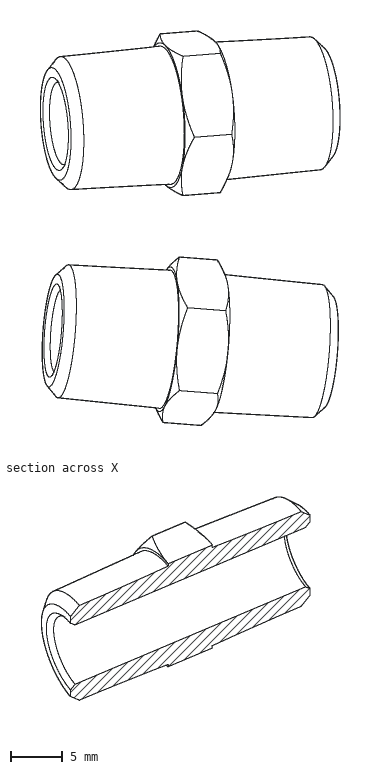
import cadquery as cq
import math

length = 27.0
hex_width = 5.0
across_flats = 14.0
across_corners = across_flats / math.cos(math.radians(30))

tip_radius = 6.45
root_radius = 6.7
tip_chamfer = 1.0

bore_radius = 4.0
bore_chamfer = 0.5

hex_chamfer_angle = 30.0
hex_chamfer_radius = across_flats / 2

half_length = length / 2
half_hex = hex_width / 2


def revolve_profile(points):
    """Turn a closed (radius, Y) outline around the Y axis."""
    return cq.Workplane("XY").polyline(points).close().revolve(360, (0, 0, 0), (0, 1, 0))


def tapered_end(side):
    """One tapered, chamfered end; side is +1 for +Y or -1 for -Y."""
    return revolve_profile([
        (0, 0),
        (root_radius, 0),
        (root_radius, side * half_hex),
        (tip_radius, side * (half_length - tip_chamfer)),
        (tip_radius - tip_chamfer, side * half_length),
        (0, side * half_length),
    ])


def hexagon():
    """Hexagon with corners on the X axis, trimmed by a cone at each face."""
    prism = (
        cq.Workplane("XZ")
        .polygon(6, across_corners)
        .extrude(half_hex, both=True)
    )
    outer_radius = across_corners / 2
    drop = (outer_radius - hex_chamfer_radius) * math.tan(math.radians(hex_chamfer_angle))
    envelope = revolve_profile([
        (0, -half_hex),
        (hex_chamfer_radius, -half_hex),
        (outer_radius, drop - half_hex),
        (outer_radius, half_hex - drop),
        (hex_chamfer_radius, half_hex),
        (0, half_hex),
    ])
    return prism.intersect(envelope)


def bore():
    """Through bore with a chamfered mouth at both ends."""
    mouth_radius = bore_radius + bore_chamfer
    return revolve_profile([
        (0, -half_length),
        (mouth_radius, -half_length),
        (bore_radius, bore_chamfer - half_length),
        (bore_radius, half_length - bore_chamfer),
        (mouth_radius, half_length),
        (0, half_length),
    ])


result = hexagon().union(tapered_end(1)).union(tapered_end(-1)).cut(bore())